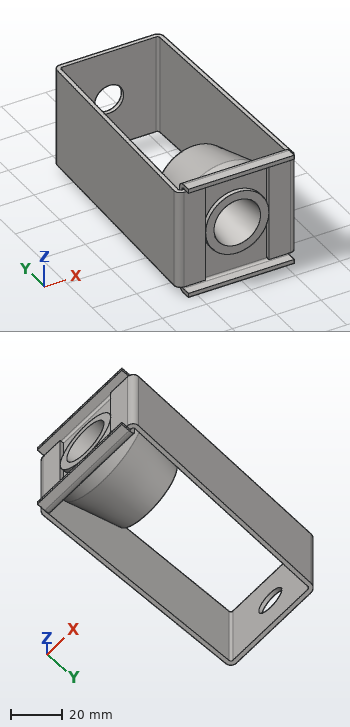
import cadquery as cq
import math

total_length = 104.8
total_width = 53.8
total_height = 50.8
sheet = 1.9
bend_outer = 2.9
bend_inner = bend_outer - sheet

strap_height = 44.5
strap_back_width = 48.0
strap_front_y = 3.1
strap_window_width = 28.5
strap_hole_radius = 6.5

side_angle = math.atan((total_width - strap_back_width) / 2 / (total_length - strap_front_y - bend_outer))
side_run_in = bend_outer * (1 / math.cos(side_angle) + math.tan(side_angle) - 1)

plate_width = 47.8
plate_front_y = strap_front_y + sheet
plate_back_y = plate_front_y + sheet

bush_front_radius = strap_window_width / 2
bush_front_y = strap_front_y
bush_radius = 22.9
bush_shoulder_y = 12.4
bush_back_y = 36.9
bush_back_radius = 16.6
bore_front_radius = 10.5
bore_back_radius = 6.5


def tapered_prism(front_y, back_y, front_half_width, back_half_width, corner_radius):
    """Upright prism of the strap height with a trapezoid outline and rounded corners."""
    outline = [
        (-front_half_width, front_y),
        (front_half_width, front_y),
        (back_half_width, back_y),
        (-back_half_width, back_y),
    ]
    prism = cq.Workplane("XY").polyline(outline).close().extrude(strap_height / 2, both=True)
    return prism.edges("|Z").fillet(corner_radius)


def make_strap():
    front_half = total_width / 2 + side_run_in
    back_half = strap_back_width / 2
    inner_front_y = strap_front_y + sheet
    inner_back_y = total_length - sheet
    side_shift = sheet / math.cos(side_angle)
    inner_front_half = front_half - sheet * math.tan(side_angle) - side_shift
    inner_back_half = back_half + sheet * math.tan(side_angle) - side_shift
    outer = tapered_prism(strap_front_y, total_length, front_half, back_half, bend_outer)
    inner = tapered_prism(inner_front_y, inner_back_y, inner_front_half, inner_back_half, bend_inner)
    window = cq.Workplane("XY").box(strap_window_width, 2 * inner_front_y, strap_height)
    back_hole = y_cylinder(strap_hole_radius, inner_back_y - sheet, 3 * sheet)
    return outer.cut(inner).cut(window).cut(back_hole)


def y_cylinder(radius, start_y, length):
    """Cylinder on the Y axis running toward +Y."""
    return cq.Workplane("XZ", origin=(0, start_y, 0)).circle(radius).extrude(-length)


def make_plate():
    """Flat web whose top and bottom edges curl forward into lips."""
    top = total_height / 2
    bend_z = top - bend_outer
    bend_y = plate_back_y - bend_outer
    diagonal = math.sqrt(0.5)
    outer_mid = (bend_y + bend_outer * diagonal, bend_z + bend_outer * diagonal)
    inner_mid = (bend_y + bend_inner * diagonal, bend_z + bend_inner * diagonal)
    upper_half = (
        cq.Workplane("YZ")
        .moveTo(plate_back_y, 0)
        .lineTo(plate_back_y, bend_z)
        .threePointArc(outer_mid, (bend_y, top))
        .lineTo(0, top)
        .lineTo(0, top - sheet)
        .lineTo(bend_y, top - sheet)
        .threePointArc(inner_mid, (plate_front_y, bend_z))
        .lineTo(plate_front_y, 0)
        .close()
        .extrude(plate_width / 2, both=True)
    )
    return upper_half.union(upper_half.mirror("XY"))


def make_bush():
    profile = [
        (0, bush_front_y),
        (bush_front_radius, bush_front_y),
        (bush_front_radius, plate_back_y),
        (bush_radius, plate_back_y),
        (bush_radius, bush_shoulder_y),
        (bush_back_radius, bush_back_y),
        (0, bush_back_y),
    ]
    return revolve_about_y(profile)


def make_bore():
    profile = [
        (0, bush_front_y),
        (bore_front_radius, bush_front_y),
        (bore_back_radius, bush_back_y),
        (0, bush_back_y),
    ]
    return revolve_about_y(profile)


def revolve_about_y(profile):
    return cq.Workplane("XY").polyline(profile).close().revolve(360, (0, 0), (0, 1))


result = make_strap().union(make_plate()).union(make_bush()).cut(make_bore())